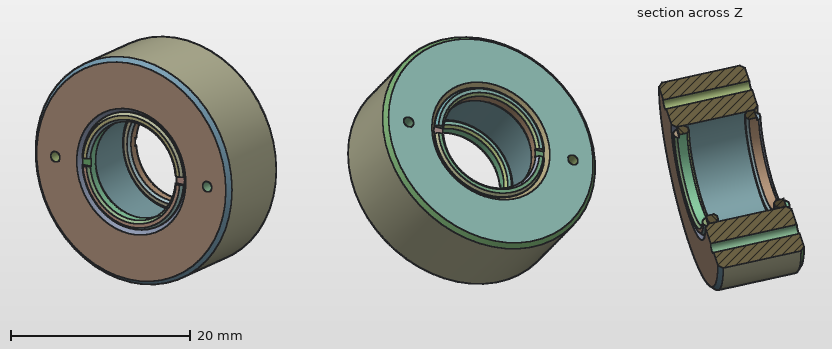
import cadquery as cq

housing_diameter = 26.3
housing_length = 10.0
housing_chamfer = 0.5
seat_diameter = 13.6
pin_hole_diameter = 1.2
pin_hole_spacing = 20.3

ring_bore_diameter = 11.4
ring_length = 1.74
ring_chamfer = 0.32
slot_width = 0.95
slot_depth = 0.5


def cylinder(diameter, start, length):
    """Cylinder on the Y axis that runs from start toward +Y."""
    return cq.Workplane("XZ", origin=(0, start, 0)).circle(diameter / 2).extrude(-length)


def make_housing():
    body = cylinder(housing_diameter, -housing_length / 2, housing_length)
    body = body.cut(cylinder(seat_diameter, -housing_length / 2, housing_length))
    body = body.faces("<Y or >Y").edges().chamfer(housing_chamfer)
    for side in (-1, 1):
        hole = cylinder(pin_hole_diameter, -housing_length / 2, housing_length)
        body = body.cut(hole.translate((side * pin_hole_spacing / 2, 0, 0)))
    return body


def make_ring():
    """Front ring, with all four rims chamfered and a driver slot across its outer face."""
    front = -housing_length / 2
    ring = cylinder(seat_diameter, front, ring_length)
    ring = ring.cut(cylinder(ring_bore_diameter, front, ring_length))
    ring = ring.edges().chamfer(ring_chamfer)
    slot = cq.Workplane("XY").box(seat_diameter, 2 * slot_depth, slot_width)
    return ring.cut(slot.translate((0, front, 0)))


housing = make_housing()
front_ring = make_ring()
rings = [front_ring.rotate((0, 0, 0), (0, 0, 1), angle) for angle in (0, 180)]

result = cq.Compound.makeCompound([housing.val(), *[ring.val() for ring in rings]])